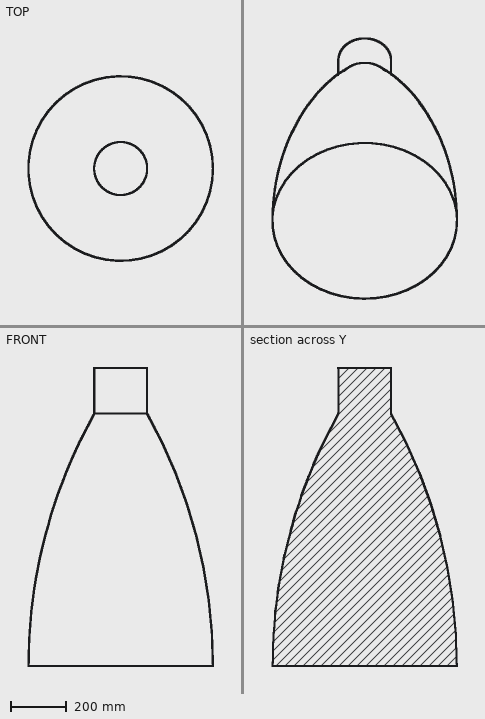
import cadquery as cq
import math

total_height = 1070
base_radius = 332
neck_radius = 95.0
neck_length = 164.0
shoulder_height = total_height - neck_length

radius_drop = base_radius - neck_radius
wall_radius = (shoulder_height**2 + radius_drop**2) / (2 * radius_drop)
wall_center_x = base_radius - wall_radius
wall_half_angle = math.asin(shoulder_height / wall_radius) / 2
wall_midpoint = (
    wall_center_x + wall_radius * math.cos(wall_half_angle),
    wall_radius * math.sin(wall_half_angle),
)

profile = (
    cq.Workplane("XZ")
    .lineTo(base_radius, 0)
    .threePointArc(wall_midpoint, (neck_radius, shoulder_height))
    .lineTo(neck_radius, total_height)
    .lineTo(0, total_height)
    .close()
)

result = profile.revolve(360, (0, 0, 0), (0, 1, 0))